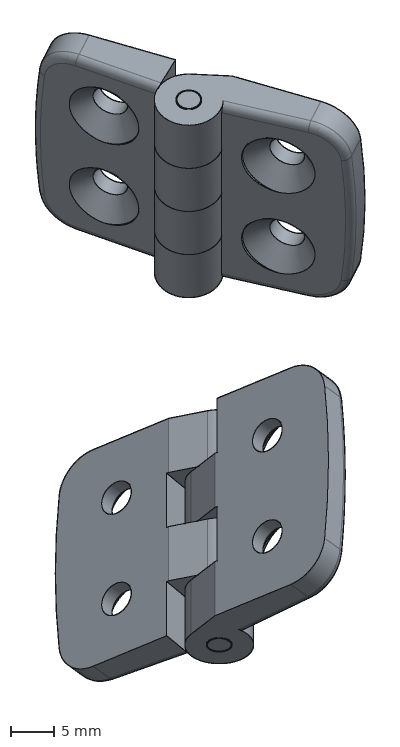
import cadquery as cq
import math

length = 39.85
height = 30.0
knuckle_diameter = 8.0
pin_diameter = 3.0
pin_chamfer = 0.1
back_y = 5.25

end_thickness = 3.82
hinge_thickness = 4.98
end_bulge_radius = 100.0
corner_radius = 4.98
front_fillet = 1.0
back_edge_x = 3.4
relief_edge_x = 3.65

hole_x = 11.0
hole_z = 7.0
hole_diameter = 4.3
countersink_diameter = 9.2

knuckle_radius = knuckle_diameter / 2
knuckle_count = 4
knuckle_height = height / knuckle_count
outer_x = length / 2
front_slope = (hinge_thickness - end_thickness) / (outer_x - knuckle_radius)
margin = 0.8


def front_y(x):
    """Y of the sloping front face at a given X on the leaf at -X."""
    return back_y - end_thickness - front_slope * (outer_x + x)


def tangent_point(x, y, side):
    """Point where a line from (x, y) touches the knuckle; side is the turning direction (+1 or -1)."""
    angle = math.atan2(y, x) + side * math.acos(knuckle_radius / math.hypot(x, y))
    return knuckle_radius * math.cos(angle), knuckle_radius * math.sin(angle)


def leaf_blank():
    """Plate with a sloping front, a bulged outer end and a web running tangent to the knuckle."""
    inner_x = -0.8 * knuckle_radius
    section = (
        cq.Workplane("XY").workplane(offset=-height / 2)
        .moveTo(-outer_x, back_y)
        .lineTo(-back_edge_x, back_y)
        .lineTo(*tangent_point(-back_edge_x, back_y, -1))
        .lineTo(inner_x, front_y(inner_x))
        .lineTo(-outer_x, front_y(-outer_x))
        .close().extrude(height)
    )
    half_height = height / 2
    bulge = end_bulge_radius - math.sqrt(end_bulge_radius**2 - half_height**2)
    outline = (
        cq.Workplane("XZ").workplane(offset=-back_y - margin)
        .moveTo(knuckle_radius, -half_height)
        .lineTo(-outer_x + bulge, -half_height)
        .threePointArc((-outer_x, 0), (-outer_x + bulge, half_height))
        .lineTo(knuckle_radius, half_height)
        .close().extrude(2 * back_y)
        .edges("|Y").edges("<X").fillet(corner_radius)
    )
    blank = section.intersect(outline)
    front_direction = cq.selectors.DirectionMinMaxSelector(cq.Vector(-front_slope, -1, 0))
    inner_edge = cq.selectors.DirectionMinMaxSelector(cq.Vector(1, 0, 0))
    front_edges = blank.faces(front_direction).edges(cq.selectors.InverseSelector(inner_edge))
    return front_edges.fillet(front_fillet)


def knuckle_bottoms(first):
    """Bottom Z of every second knuckle, counted upwards from the given one."""
    return [-height / 2 + i * knuckle_height for i in range(first, knuckle_count, 2)]


def relief(bottom):
    """Room for one knuckle of the other leaf: its wall leans to touch that knuckle."""
    touch_x, touch_y = tangent_point(-relief_edge_x, back_y, 1)
    lean = (touch_x + relief_edge_x) / (touch_y - back_y)
    top_y = back_y + margin
    low_y = -margin
    return (
        cq.Workplane("XY").workplane(offset=bottom)
        .moveTo(-relief_edge_x + lean * (top_y - back_y), top_y)
        .lineTo(-relief_edge_x + lean * (low_y - back_y), low_y)
        .lineTo(knuckle_radius, low_y)
        .lineTo(knuckle_radius, top_y)
        .close().extrude(knuckle_height)
    )


def knuckle(bottom):
    return cq.Workplane("XY").workplane(offset=bottom).circle(knuckle_radius).extrude(knuckle_height)


def screw_hole(z):
    """90-degree countersink, full size at the front face on the hole axis, with a plain bore behind it."""
    seat_y = front_y(-hole_x)
    hole_radius = hole_diameter / 2
    sink_radius = countersink_diameter / 2
    cone_end_y = seat_y + sink_radius - hole_radius
    return (
        cq.Workplane("XY")
        .moveTo(0, seat_y - margin)
        .lineTo(sink_radius, seat_y - margin)
        .lineTo(sink_radius, seat_y)
        .lineTo(hole_radius, cone_end_y)
        .lineTo(hole_radius, back_y + margin)
        .lineTo(0, back_y + margin)
        .close().revolve(360, (0, 0, 0), (0, 1, 0))
        .translate((-hole_x, 0, z))
    )


def make_leaf():
    """Leaf at -X, carrying the lowest and the third knuckle."""
    leaf = leaf_blank()
    for bottom in knuckle_bottoms(1):
        leaf = leaf.cut(relief(bottom))
    for bottom in knuckle_bottoms(0):
        leaf = leaf.union(knuckle(bottom))
    for z in (-hole_z, hole_z):
        leaf = leaf.cut(screw_hole(z))
    pin_bore = cq.Workplane("XY").circle(pin_diameter / 2).extrude(height, both=True)
    return leaf.cut(pin_bore)


def make_pin():
    return (
        cq.Workplane("XY").circle(pin_diameter / 2).extrude(height / 2, both=True)
        .faces("<Z or >Z").edges().chamfer(pin_chamfer)
    )


leaves = [make_leaf().rotate((0, 0, 0), (0, 1, 0), turn) for turn in (0, 180)]
pin = make_pin()

result = cq.Compound.makeCompound([*[leaf.solids().val() for leaf in leaves], pin.val()])